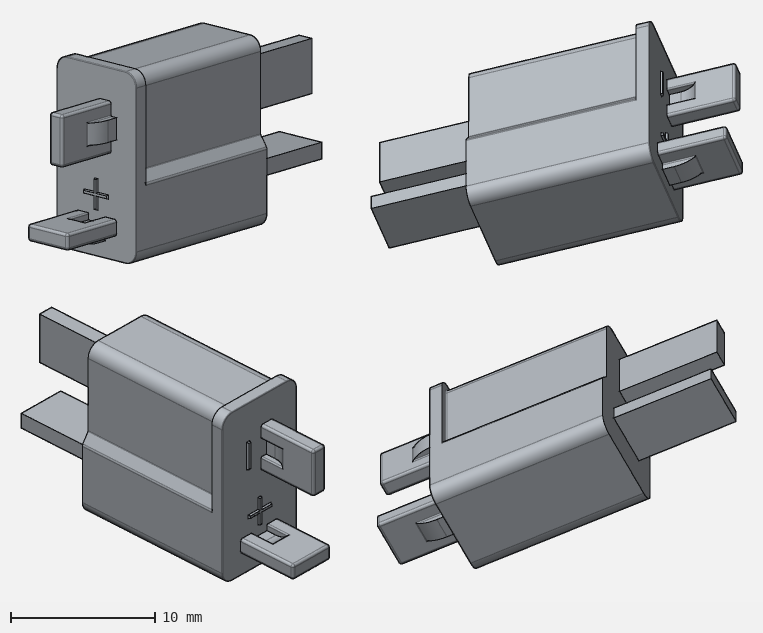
import cadquery as cq
import math

OVERALL_LENGTH = 25.9

HOUSING_WIDTH = 7.5
HOUSING_HEIGHT = 13.85
HOUSING_LENGTH = 13.4
CORNER_RADIUS = 1.0
FLANGE_THICKNESS = 0.98
FLANGE_EDGE_RADIUS = 0.05
FLANGE_LIP = 0.25
UPPER_BODY_WIDTH = 6.32
SHOULDER_BOTTOM_Z = 5.72
SHOULDER_TOP_Z = 6.6
SHOULDER_EDGE_RADIUS = 0.3
INNER_CORNER_RADIUS = 0.08

BAR_LENGTH = 2.28
BAR_WIDTH = 0.3
BAR_HEIGHT = 0.15
BAR_TAPER = 20
PLUS_Z = 4.48
MINUS_X = -1.15

BLADE_THICKNESS = 1.22
FRONT_BLADE_WIDTH = 3.78
FRONT_BLADE_LENGTH = 5.0
FRONT_EDGE_RADIUS = 0.2
REAR_BLADE_WIDTH = 4.0
REAR_BLADE_LENGTH = OVERALL_LENGTH - HOUSING_LENGTH - FRONT_BLADE_LENGTH
JOG_Y = HOUSING_LENGTH / 2

NEGATIVE_Z = 9.55
NEGATIVE_FRONT_X = 0.78
NEGATIVE_REAR_X = 0.47
POSITIVE_FRONT_Z = 2.38
POSITIVE_REAR_Z = 3.63

TAB_DEPTH = 0.52
TAB_FLAT_LENGTH = 0.85
TAB_ROOT_LENGTH = 0.52
BUMP_WIDTH = 1.6
BUMP_LENGTH = 2.43
BUMP_EDGE_RADIUS = 0.08
POCKET_WIDTH = 1.5
POCKET_LENGTH = 2.05
POCKET_RIM_RADIUS = 0.1


def box_between(x_range, y_range, z_range):
    """Box given by its (low, high) limits along each axis."""
    sizes = [high - low for low, high in (x_range, y_range, z_range)]
    corner = (x_range[0], y_range[0], z_range[0])
    return cq.Workplane("XY").box(*sizes, centered=False).translate(corner)


def around(middle, size):
    """Limits of a length centred on a place."""
    return (middle - size / 2, middle + size / 2)


def make_tab(width, length, face_z):
    """Solid pressed down by the tab depth from a blade face at height face_z.

    It has a flat run, then an arc tangent to that run which rises to the face.
    """
    run = length - TAB_FLAT_LENGTH
    radius = (run**2 + TAB_DEPTH**2) / (2 * TAB_DEPTH)
    half_angle = math.atan2(run, radius - TAB_DEPTH) / 2
    arc_middle = (
        -TAB_FLAT_LENGTH - radius * math.sin(half_angle),
        face_z - TAB_DEPTH + radius * (1 - math.cos(half_angle)),
    )
    return (
        cq.Workplane("YZ")
        .moveTo(TAB_ROOT_LENGTH, face_z)
        .lineTo(TAB_ROOT_LENGTH, face_z - TAB_DEPTH)
        .lineTo(-TAB_FLAT_LENGTH, face_z - TAB_DEPTH)
        .threePointArc(arc_middle, (-length, face_z))
        .close()
        .extrude(width / 2, both=True)
    )


def tab_rim(width, length, face_z):
    """Selector for the edges where a tab meets the blade face, ahead of its root."""
    margin = 0.03
    return cq.selectors.BoxSelector(
        (-width / 2 - margin, -length - margin, face_z - margin),
        (width / 2 + margin, TAB_ROOT_LENGTH - margin, face_z + margin),
    )


def make_blade(rear_offset):
    """Flat blade with its front part centred on the X and Z axes, pocket face up.

    The rear part sits `rear_offset` higher; a step inside the housing joins them.
    """
    half = BLADE_THICKNESS / 2
    front = (
        box_between(
            around(0, FRONT_BLADE_WIDTH),
            (-FRONT_BLADE_LENGTH, JOG_Y + half),
            around(0, BLADE_THICKNESS),
        )
        .edges("|Y or <Y")
        .fillet(FRONT_EDGE_RADIUS)
    )
    rear = box_between(
        around(0, REAR_BLADE_WIDTH),
        (JOG_Y - half, HOUSING_LENGTH + REAR_BLADE_LENGTH),
        around(rear_offset, BLADE_THICKNESS),
    )
    step = box_between(
        around(0, REAR_BLADE_WIDTH),
        around(JOG_Y, BLADE_THICKNESS),
        (min(0, rear_offset) - half, max(0, rear_offset) + half),
    )
    bump = make_tab(BUMP_WIDTH, BUMP_LENGTH, -half)
    pocket = make_tab(POCKET_WIDTH, POCKET_LENGTH, half)
    return (
        front.union(step)
        .union(rear)
        .union(bump)
        .cut(pocket)
        .edges(tab_rim(BUMP_WIDTH, BUMP_LENGTH, -half))
        .fillet(BUMP_EDGE_RADIUS)
        .edges(tab_rim(POCKET_WIDTH, POCKET_LENGTH, half))
        .fillet(POCKET_RIM_RADIUS)
    )


def make_housing_shell():
    """Body narrowed above its sloping shoulders, with the full-size flange at its front end."""
    wide, narrow = HOUSING_WIDTH / 2, UPPER_BODY_WIDTH / 2
    body_top = HOUSING_HEIGHT - FLANGE_LIP
    body = (
        cq.Workplane("XZ")
        .polyline([
            (-wide, 0), (wide, 0),
            (wide, SHOULDER_BOTTOM_Z), (narrow, SHOULDER_TOP_Z),
            (narrow, body_top), (-narrow, body_top),
            (-narrow, SHOULDER_TOP_Z), (-wide, SHOULDER_BOTTOM_Z),
        ])
        .close()
        .extrude(-HOUSING_LENGTH)
    )
    middle_y = HOUSING_LENGTH / 2
    for radius, half_width, z in (
        (CORNER_RADIUS, wide, 0),
        (CORNER_RADIUS, narrow, body_top),
        (SHOULDER_EDGE_RADIUS, wide, SHOULDER_BOTTOM_Z),
    ):
        for side in (-1, 1):
            edge = cq.selectors.NearestToPointSelector((side * half_width, middle_y, z))
            body = body.edges(edge).fillet(radius)
    flange = (
        box_between(around(0, HOUSING_WIDTH), (0, FLANGE_THICKNESS), (0, HOUSING_HEIGHT))
        .edges("|Y")
        .fillet(CORNER_RADIUS)
    )
    shell = body.union(flange)
    margin = 0.03
    inner_corners = cq.selectors.BoxSelector(
        (-narrow - margin, FLANGE_THICKNESS - margin, SHOULDER_TOP_Z),
        (narrow + margin, FLANGE_THICKNESS + margin, body_top + margin),
    )
    for side in (-1, 1):
        inner_corners += cq.selectors.NearestToPointSelector((side * narrow, middle_y, SHOULDER_TOP_Z))
    shell = shell.edges(inner_corners).fillet(INNER_CORNER_RADIUS)
    return shell.faces("<Y").edges().fillet(FLANGE_EDGE_RADIUS)


def make_bar(x, z, width, height):
    """One raised polarity bar with tapered sides, standing on the flange face."""
    return (
        cq.Workplane("XZ")
        .center(x, z)
        .rect(width, height)
        .extrude(BAR_HEIGHT, taper=BAR_TAPER)
    )


positive_blade = make_blade(POSITIVE_REAR_Z - POSITIVE_FRONT_Z).translate((0, 0, POSITIVE_FRONT_Z))
negative_blade = (
    make_blade(NEGATIVE_FRONT_X - NEGATIVE_REAR_X)
    .rotate((0, 0, 0), (0, 1, 0), -90)
    .translate((NEGATIVE_FRONT_X, 0, NEGATIVE_Z))
)

housing = (
    make_housing_shell()
    .union(make_bar(0, PLUS_Z, BAR_LENGTH, BAR_WIDTH))
    .union(make_bar(0, PLUS_Z, BAR_WIDTH, BAR_LENGTH))
    .union(make_bar(MINUS_X, NEGATIVE_Z, BAR_WIDTH, BAR_LENGTH))
    .cut(positive_blade)
    .cut(negative_blade)
)

result = cq.Compound.makeCompound([housing.val(), positive_blade.val(), negative_blade.val()])